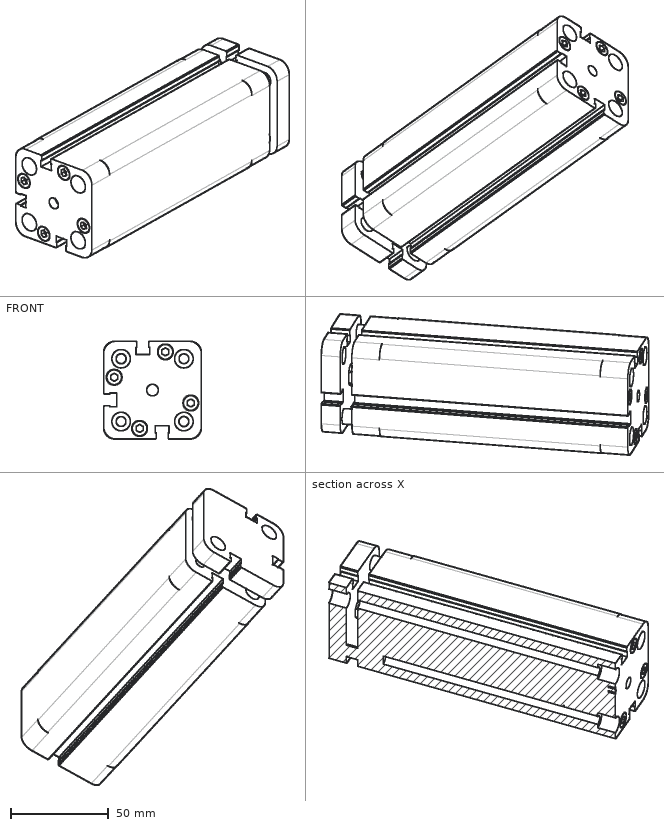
import cadquery as cq
import math

length = 160.5
side = 50.0
half_side = side / 2

cap_length = 14.5
plate_length = 10.0
gap = 6.1
plate_start = length - plate_length
barrel_end = plate_start - gap
barrel_length = barrel_end - 2 * cap_length

cap_corner_radius = 6.5
barrel_corner_radius = 6.0

slot_offset = 5.0
slot_mouth_width = 6.0
slot_inner_width = 6.9
slot_lip_depth = 3.2
slot_depth = 6.7
slot_chamfer = 0.5
slot_angles = (0, 90, 180)

mount_offset = 16.0
mount_diameter = 5.0
mount_counterbore_diameter = 9.5
mount_counterbore_depth = 10.0
centre_hole_diameter = 6.0
centre_hole_depth = 5.0

screw_near_offset = 6.6
screw_far_offset = 19.6
screw_head_diameter = 7.5
screw_bore_diameter = 8.0
screw_bore_depth = 4.0
socket_across_flats = 3.5
socket_depth = 2.4

guide_offset = 16.9
guide_diameter = 8.0
plate_hole_diameter = 9.0
piston_diameter = 12.0
piston_across_flats = 10.0
piston_end_chamfer_length = 1.5
piston_end_chamfer_depth = 0.5
flat_clearance = 1.5


def along_y(start):
    """Workplane at Y = start facing +Y, with local x = X and local y = -Z."""
    return cq.Workplane("XZ", origin=(0, start, 0)).transformed(rotate=(180, 0, 0))


def cylinder(x, z, diameter, start, depth):
    return along_y(start).center(x, -z).circle(diameter / 2).extrude(depth)


def block(start, depth, corner_radius):
    """Square section with rounded long edges."""
    return along_y(start).rect(side, side).extrude(depth).edges("|Y").fillet(corner_radius)


def slot_cutter():
    """Undercut slot in the +Z side, running the full length."""
    half_mouth = slot_mouth_width / 2
    half_inner = slot_inner_width / 2
    right_half = [
        (half_mouth + slot_chamfer, half_side),
        (half_mouth, half_side - slot_chamfer),
        (half_mouth, half_side - slot_lip_depth),
        (half_inner, half_side - slot_lip_depth),
        (half_inner, half_side - slot_depth),
    ]
    left_half = [(-x, z) for x, z in reversed(right_half)]
    outline = [(x - slot_offset, -z) for x, z in right_half + left_half]
    return along_y(0).polyline(outline).close().extrude(length)


def screw_recess(x, z):
    """Clearance ring around a flush screw head, plus its hexagon socket."""
    ring = cylinder(x, z, screw_bore_diameter, 0, screw_bore_depth).cut(
        cylinder(x, z, screw_head_diameter, 0, screw_bore_depth)
    )
    across_corners = socket_across_flats / math.cos(math.pi / 6)
    socket = (
        along_y(0)
        .center(x, -z)
        .transformed(rotate=(0, 0, 30))
        .polygon(6, across_corners)
        .extrude(socket_depth)
    )
    return ring.union(socket)


def piston_rod():
    """Rod between barrel and plate with a tapered end and two wrench flats."""
    radius = piston_diameter / 2
    rod = (
        cq.Workplane("XY")
        .moveTo(0, barrel_end)
        .lineTo(radius, barrel_end)
        .lineTo(radius, plate_start - piston_end_chamfer_length)
        .lineTo(radius - piston_end_chamfer_depth, plate_start)
        .lineTo(0, plate_start)
        .close()
        .revolve(360, (0, 0, 0), (0, 1, 0))
    )
    half_flats = piston_across_flats / 2
    flat_start = barrel_end + flat_clearance
    flat_cutter = (
        cq.Workplane("XY", origin=(0, 0, -radius))
        .moveTo(half_flats, plate_start)
        .lineTo(half_flats, flat_start)
        .lineTo(radius, flat_start - (radius - half_flats))
        .lineTo(radius, plate_start)
        .close()
        .extrude(piston_diameter)
    )
    return rod.cut(flat_cutter).cut(flat_cutter.mirror("YZ"))


result = (
    block(0, cap_length, cap_corner_radius)
    .union(block(cap_length, barrel_length, barrel_corner_radius))
    .union(block(barrel_end - cap_length, cap_length, cap_corner_radius))
    .union(block(plate_start, plate_length, cap_corner_radius))
)

for angle in slot_angles:
    result = result.cut(slot_cutter().rotate((0, 0, 0), (0, 1, 0), -angle))

for x_sign in (-1, 1):
    for z_sign in (-1, 1):
        x = x_sign * mount_offset
        z = z_sign * mount_offset
        result = result.cut(cylinder(x, z, mount_diameter, 0, barrel_end))
        result = result.cut(
            cylinder(x, z, mount_counterbore_diameter, 0, mount_counterbore_depth)
        )

result = result.cut(cylinder(0, 0, centre_hole_diameter, 0, centre_hole_depth))

for x, z in (
    (screw_near_offset, screw_far_offset),
    (screw_far_offset, -screw_near_offset),
    (-screw_near_offset, -screw_far_offset),
    (-screw_far_offset, screw_near_offset),
):
    result = result.cut(screw_recess(x, z))

for sign in (-1, 1):
    guide = cylinder(
        sign * guide_offset, sign * guide_offset, guide_diameter,
        barrel_end - cap_length, cap_length + gap,
    )
    access_hole = cylinder(
        sign * mount_offset, -sign * mount_offset, plate_hole_diameter,
        plate_start, plate_length,
    )
    result = result.union(guide).cut(access_hole)

result = result.union(piston_rod())